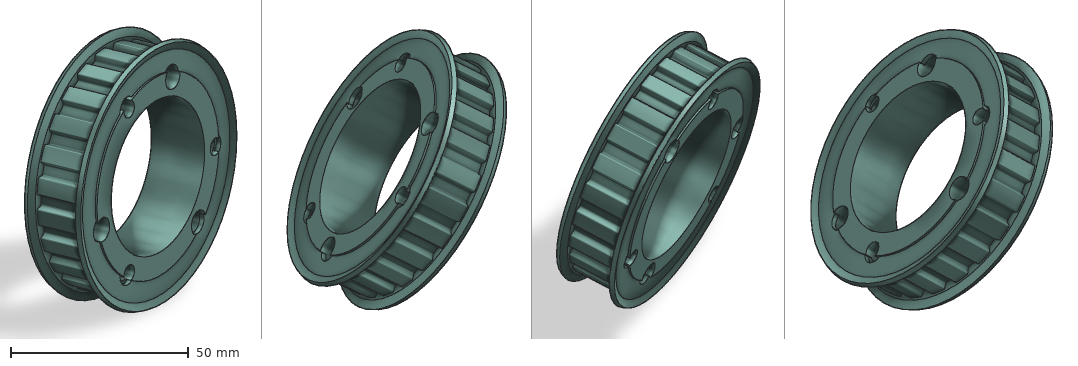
import cadquery as cq
import math


overall_width = 19.2
flange_radius = 39.3

tooth_count = 24
tooth_width = 14.4
tip_radius = 36.0
groove_depth = 2.05
groove_floor_width = 3.0
flank_angle = 21.0
groove_root_fillet = 0.5
groove_tip_fillet = 0.4
boss_radius = 30.2
boss_rise = 0.6

bore_radius_front = 23.7
bore_radius_back = 23.1

bolt_circle_radius = 28.5
bolts_per_set = 3
clearance_hole_diameter = 7.15
clearance_hole_start = 75.0
tapped_hole_diameter = 5.1
tapped_hole_start = 0.0

flange_thickness = 1.5
flare_angle = 22.0

flange_inner_x = tooth_width / 2
flange_outer_x = flange_inner_x + flange_thickness
boss_end_x = flange_outer_x + boss_rise
boss_width = 2 * boss_end_x
groove_floor_radius = tip_radius - groove_depth
groove_pitch = 360.0 / tooth_count


def bolt_points(start_angle):
    """Centres of one set of bolt holes in the YZ plane."""
    angles = [math.radians(start_angle + i * 360.0 / bolts_per_set) for i in range(bolts_per_set)]
    return [(bolt_circle_radius * math.cos(a), bolt_circle_radius * math.sin(a)) for a in angles]


def cylinder_x(radius, width, points=((0, 0),)):
    """Cylinders along X, centred on X = 0, at the given (Y, Z) points."""
    return cq.Workplane("YZ", origin=(-width / 2, 0, 0)).pushPoints(points).circle(radius).extrude(width)


clearance_points = bolt_points(clearance_hole_start)
tapped_points = bolt_points(tapped_hole_start)


def make_groove_cutter():
    """One trapezoidal belt groove along X, centred on the +Y direction, with a rounded root."""
    outside_radius = tip_radius + groove_depth
    floor_half = groove_floor_width / 2
    outside_half = floor_half + (outside_radius - groove_floor_radius) * math.tan(math.radians(flank_angle))
    outline = [
        (groove_floor_radius, -floor_half),
        (outside_radius, -outside_half),
        (outside_radius, outside_half),
        (groove_floor_radius, floor_half),
    ]
    start_plane = cq.Workplane("YZ", origin=(-tooth_width / 2, 0, 0))
    cutter = start_plane.polyline(outline).close().extrude(tooth_width)
    return cutter.edges("|X and <Y").fillet(groove_root_fillet)


def make_toothed_rim():
    """Disc with the belt grooves cut around it; the lips of each groove are rounded."""
    rim = cylinder_x(tip_radius, tooth_width)
    cutter = make_groove_cutter()
    for i in range(tooth_count):
        rim = rim.cut(cutter.rotate((0, 0, 0), (1, 0, 0), i * groove_pitch))
    lips = [
        edge
        for edge in rim.edges("|X").vals()
        if math.hypot(edge.Center().y, edge.Center().z) > tip_radius - groove_tip_fillet
    ]
    return rim.newObject(lips).fillet(groove_tip_fillet)


def make_bore():
    """Tapered bore cutter, wider at the -X end."""
    return (
        cq.Workplane("XY")
        .polyline([
            (-boss_end_x, 0),
            (-boss_end_x, bore_radius_front),
            (boss_end_x, bore_radius_back),
            (boss_end_x, 0),
        ])
        .close()
        .revolve(360, (0, 0, 0), (1, 0, 0))
    )


def make_core():
    """Toothed rim with end bosses, tapered bore and two sets of bolt holes."""
    core = make_toothed_rim().union(cylinder_x(boss_radius, boss_width))
    core = core.cut(make_bore())
    core = core.cut(cylinder_x(clearance_hole_diameter / 2, boss_width, clearance_points))
    return core.cut(cylinder_x(tapped_hole_diameter / 2, boss_width, tapped_points))


def make_flange():
    """Flared sheet ring for the +X end, notched around every bolt hole."""
    flare = math.tan(math.radians(flare_angle))
    face_x = overall_width / 2
    rim_inner_x = face_x - flange_thickness * math.cos(math.radians(flare_angle))
    rim_outer_radius = flange_radius - flange_thickness * math.sin(math.radians(flare_angle))
    inner_bend_radius = flange_radius - (rim_inner_x - flange_inner_x) / flare
    outer_bend_radius = rim_outer_radius - (face_x - flange_outer_x) / flare
    section = [
        (flange_inner_x, boss_radius),
        (flange_outer_x, boss_radius),
        (flange_outer_x, outer_bend_radius),
        (face_x, rim_outer_radius),
        (rim_inner_x, flange_radius),
        (flange_inner_x, inner_bend_radius),
    ]
    ring = cq.Workplane("XY").polyline(section).close().revolve(360, (0, 0, 0), (1, 0, 0))
    notches = cylinder_x(clearance_hole_diameter / 2, overall_width, clearance_points + tapped_points)
    return ring.cut(notches)


core = make_core()
back_flange = make_flange()
front_flange = back_flange.mirror("YZ")

bodies = [core, front_flange, back_flange]
result = cq.Compound.makeCompound([body.solids().val() for body in bodies])